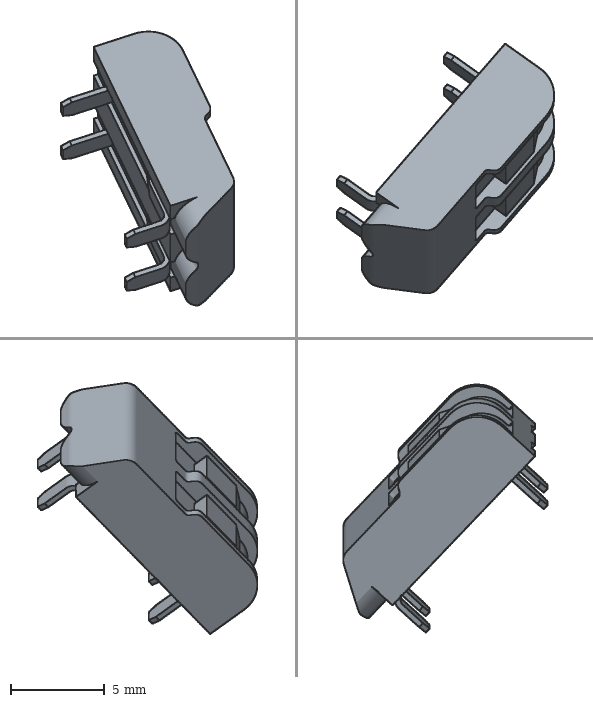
import cadquery as cq
import math


length = 12.7
height = 4.34
width = 7.9
pole_offset = 2.0
tier_drop = 0.56
tier_height = height - tier_drop
slope_angle = math.radians(60)
step_start = 6.12
entry_slope_start = 11.05
back_radius = 2.0
step_outer_radius = 0.5
step_inner_radius = 0.25
entry_top_radius = 0.75
entry_nose_radius = 0.5

groove_depth = 0.25
groove_width = 1.4
base_end = 11.13
lobe_radius = 1.65
lobe_side_start = 1.5
valley_radius = 0.5

outer_wall = 0.46
middle_wall = 1.03
chamber_floor = 1.61
chamber_end = 7.37
chamber_corner_radius = 0.18
chamber_width = (width - middle_wall) / 2 - outer_wall
chamber_offset = (middle_wall + chamber_width) / 2

clamp_start = 1.02
clamp_height = 3.38
clamp_radius = 1.41
clamp_gap_width = 2.49
clamp_gap_end = 3.81

lever_width = 2.24
lever_start = 0.25
lever_radius = 1.78
lever_round_base = 2.0
lever_top = 4.24
lever_ramp_end = 2.92
lever_end = 5.33
lever_root_radius = 0.19

lead_thickness = 0.3
lead_width = 1.2
lead_length = 2.55
lead_tip_length = 0.5
lead_tip_inset = 0.19
back_pin_start = 1.74
back_bend_base = 0.13
front_pin_end = 11.25
foot_start = 7.01
foot_ramp_end = 8.5
foot_drop = 0.15
bend_inner_radius = 0.45


def box(x_min, x_max, y_min, y_max, z_size, z_mid=0):
    """Block given by its X and Y limits and centred on z_mid."""
    block = cq.Workplane("XY").box(x_max - x_min, y_max - y_min, z_size, centered=(False, False, True))
    return block.translate((x_min, y_min, z_mid))


def plate(outline, thickness, z_mid=0):
    """Closed XY outline thickened evenly about z_mid."""
    return outline.extrude(thickness / 2, both=True).translate((0, 0, z_mid))


def round_corner(body, x, y, radius, z_mid=0):
    """Fillet the edge along Z whose middle is (x, y, z_mid)."""
    return body.edges(cq.selectors.NearestToPointSelector((x, y, z_mid))).fillet(radius)


def housing_body():
    step_end = step_start + tier_drop / math.tan(slope_angle)
    nose_height = tier_height - (length - entry_slope_start) * math.tan(slope_angle)
    corners = [
        (0, height, back_radius),
        (step_start, height, step_outer_radius),
        (step_end, tier_height, step_inner_radius),
        (entry_slope_start, tier_height, entry_top_radius),
        (length, nose_height, entry_nose_radius),
    ]
    outline = [(0, 0)] + [(x, y) for x, y, _ in corners] + [(length, 0)]
    body = plate(cq.Workplane("XY").polyline(outline).close(), width)
    for x, y, radius in corners:
        body = round_corner(body, x, y, radius)
    return body


def entry_envelope():
    """Two side-by-side lobes with a valley between them, run along the rounded entry end."""
    side = width / 2
    flat_outer = pole_offset + groove_width / 2
    flat_inner = pole_offset - groove_width / 2

    rise = lobe_side_start - groove_depth
    run = side - flat_outer
    chord = math.hypot(rise, run)
    centre_distance = math.sqrt(lobe_radius ** 2 - (chord / 2) ** 2)
    centre_y = groove_depth + rise / 2 + centre_distance * run / chord
    centre_inset = centre_distance * rise / chord - run / 2
    outer_centre_z = flat_outer - centre_inset
    outer_mid_y = centre_y - lobe_radius * run / chord
    outer_mid_z = outer_centre_z + lobe_radius * rise / chord

    inner_centre_z = flat_inner + centre_inset
    reach = lobe_radius + valley_radius
    lean = math.asin(inner_centre_z / reach)
    valley_y = centre_y - reach * math.cos(lean)
    meet_y = valley_y + valley_radius * math.cos(lean)
    meet_z = valley_radius * math.sin(lean)
    mid_lean = (lean + math.asin(centre_inset / lobe_radius)) / 2
    inner_mid_y = centre_y - lobe_radius * math.cos(mid_lean)
    inner_mid_z = inner_centre_z - lobe_radius * math.sin(mid_lean)

    return (
        cq.Workplane("YZ", origin=(base_end, 0, 0))
        .moveTo(height, side)
        .lineTo(lobe_side_start, side)
        .threePointArc((outer_mid_y, outer_mid_z), (groove_depth, flat_outer))
        .lineTo(groove_depth, flat_inner)
        .threePointArc((inner_mid_y, inner_mid_z), (meet_y, meet_z))
        .threePointArc((valley_y + valley_radius, 0), (meet_y, -meet_z))
        .threePointArc((inner_mid_y, -inner_mid_z), (groove_depth, -flat_inner))
        .lineTo(groove_depth, -flat_outer)
        .threePointArc((outer_mid_y, -outer_mid_z), (lobe_side_start, -side))
        .lineTo(height, -side)
        .close()
        .extrude(length - base_end)
    )


def chamber(z_mid):
    pocket = box(0, chamber_end, chamber_floor, height, chamber_width, z_mid)
    return pocket.edges(">X and |Y").fillet(chamber_corner_radius)


def clamp(z_mid):
    body = box(clamp_start, chamber_end, chamber_floor, clamp_height, chamber_width, z_mid)
    body = round_corner(body, clamp_start, clamp_height, clamp_radius, z_mid)
    return body.cut(box(0, clamp_gap_end, chamber_floor, height, clamp_gap_width, z_mid))


def lever(z_mid):
    round_end = lever_start + lever_radius
    diagonal = lever_radius * math.sqrt(0.5)
    root_mid = lever_root_radius * (1 - math.sqrt(0.5))
    outline = (
        cq.Workplane("XY")
        .moveTo(lever_start - lever_root_radius, chamber_floor)
        .threePointArc(
            (lever_start - root_mid, chamber_floor + root_mid),
            (lever_start, chamber_floor + lever_root_radius),
        )
        .lineTo(lever_start, lever_round_base)
        .threePointArc(
            (round_end - diagonal, lever_round_base + diagonal),
            (round_end, lever_round_base + lever_radius),
        )
        .lineTo(lever_ramp_end, lever_top)
        .lineTo(lever_end, lever_top)
        .lineTo(lever_end, chamber_floor)
        .close()
    )
    return plate(outline, lever_width, z_mid)


def taper_tips(leads, z_mid):
    """Trim the free ends of the leads to a taper."""
    half = lead_width / 2
    tip_half = half - lead_tip_inset
    shape = (
        cq.Workplane("YZ")
        .polyline([
            (height, half),
            (lead_tip_length - lead_length, half),
            (-lead_length, tip_half),
            (-lead_length, -tip_half),
            (lead_tip_length - lead_length, -half),
            (height, -half),
        ])
        .close()
        .extrude(length)
        .translate((0, 0, z_mid))
    )
    return leads.intersect(shape)


def bent_pin(start, pin_x, pin_side, bend_y):
    """Outline of a lead that runs from start to a bend and down a pin.

    pin_x is the inside face of the pin and pin_side the X direction towards its outside face.
    The bend ends at height bend_y; start is a list of points leading up to the bend.
    """
    bend_x = pin_x - pin_side * bend_inner_radius
    pin_outside = pin_x + pin_side * lead_thickness
    outer_radius = bend_inner_radius + lead_thickness
    inner = bend_inner_radius * math.sqrt(0.5)
    outer = outer_radius * math.sqrt(0.5)
    return (
        cq.Workplane("XY")
        .polyline(start + [(bend_x, bend_y + bend_inner_radius)])
        .threePointArc((bend_x + pin_side * inner, bend_y + inner), (pin_x, bend_y))
        .lineTo(pin_x, -lead_length)
        .lineTo(pin_outside, -lead_length)
        .lineTo(pin_outside, bend_y)
        .threePointArc((bend_x + pin_side * outer, bend_y + outer), (bend_x, bend_y + outer_radius))
    )


def leads(z_mid):
    back_pin_inside = back_pin_start + lead_thickness
    back_foot_x = back_pin_inside + 2 * bend_inner_radius
    back_foot_y = back_bend_base + bend_inner_radius
    back_outline = bent_pin([(back_foot_x, back_foot_y)], back_pin_inside, -1, back_bend_base)
    back_outline = back_outline.lineTo(back_foot_x, back_foot_y + lead_thickness).close()

    ramp = [(foot_start, groove_depth), (foot_ramp_end, -foot_drop)]
    front_outline = bent_pin(ramp, front_pin_end - lead_thickness, 1, -foot_drop - bend_inner_radius)
    front_foot_x = front_pin_end - lead_thickness - bend_inner_radius
    front_outline = front_outline.lineTo(front_foot_x, groove_depth).close()

    pair = plate(back_outline, lead_width, z_mid).union(plate(front_outline, lead_width, z_mid))
    return taper_tips(pair, z_mid)


base_region = box(0, base_end, 0, height, width)
result = housing_body().intersect(base_region.union(entry_envelope()))
for side in (-1, 1):
    pole_z = side * pole_offset
    chamber_z = side * chamber_offset
    result = result.cut(box(0, length, 0, groove_depth, groove_width, pole_z))
    result = result.cut(chamber(chamber_z))
    result = result.union(clamp(chamber_z)).union(lever(chamber_z)).union(leads(pole_z))